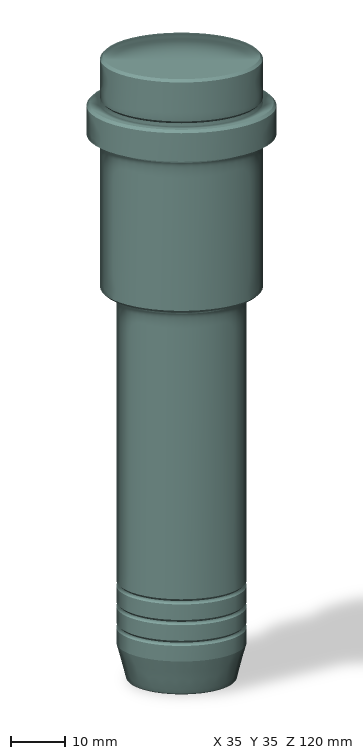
import cadquery as cq
import math

total_length = 120.0
head_height = 9.0
flange_thickness = 6.0
body_length = 30.0

flange_top = total_length - head_height
flange_bottom = flange_top - flange_thickness
body_bottom = flange_bottom - body_length

flange_radius = 17.5
body_radius = 15.0
shaft_radius = 12.0

edge_chamfer = 0.5
tip_fillet = 0.5

neck_length = 1.0
neck_depth = 0.5
neck_radius = shaft_radius - neck_depth

taper_height = 7.0
taper_angle = math.radians(15.0)
tip_radius = shaft_radius - taper_height * math.tan(taper_angle)

groove_width = 1.0
groove_depth = 0.5

groove_count = 3
groove_pitch = 4.0
first_groove_height = taper_height + groove_pitch - groove_width / 2


def cylinder(radius, bottom, top):
    """Solid cylinder on the pin axis between two heights."""
    return cq.Workplane("XY").workplane(offset=bottom).circle(radius).extrude(top - bottom)


def vee_groove(radius, center_height):
    """Ring of material that leaves a V groove in a cylinder of the given radius."""
    half_width = groove_width / 2
    profile = (
        cq.Workplane("XZ")
        .moveTo(radius, center_height - half_width)
        .lineTo(radius - groove_depth, center_height)
        .lineTo(radius, center_height + half_width)
        .close()
    )
    return profile.revolve(360, (0, 0, 0), (0, 1, 0))


def make_head():
    """Cylinder above the flange, with a chamfered rim and a V groove at its root."""
    head = cylinder(body_radius, flange_top, total_length).faces(">Z").chamfer(edge_chamfer)
    return head.cut(vee_groove(body_radius, flange_top + groove_width / 2))


def make_flange():
    """Locating collar with a chamfered upper rim."""
    return cylinder(flange_radius, flange_bottom, flange_top).faces(">Z").chamfer(edge_chamfer)


def make_body():
    """Press-fit cylinder with a chamfered lower rim and a V groove under the flange."""
    body = cylinder(body_radius, body_bottom, flange_bottom).faces("<Z").chamfer(edge_chamfer)
    return body.cut(vee_groove(body_radius, flange_bottom - groove_width / 2))


def make_shaft():
    """Guide shaft with a tapered tip, oil grooves and a narrower neck under the body."""
    neck_bottom = body_bottom - neck_length
    profile = (
        cq.Workplane("XZ")
        .lineTo(tip_radius, 0)
        .lineTo(shaft_radius, taper_height)
        .lineTo(shaft_radius, neck_bottom)
        .lineTo(neck_radius, neck_bottom)
        .lineTo(neck_radius, body_bottom)
        .lineTo(0, body_bottom)
        .close()
    )
    shaft = profile.revolve(360, (0, 0, 0), (0, 1, 0)).faces("<Z").edges().fillet(tip_fillet)
    for index in range(groove_count):
        shaft = shaft.cut(vee_groove(shaft_radius, first_groove_height + index * groove_pitch))
    return shaft


result = make_shaft().union(make_body()).union(make_flange()).union(make_head())